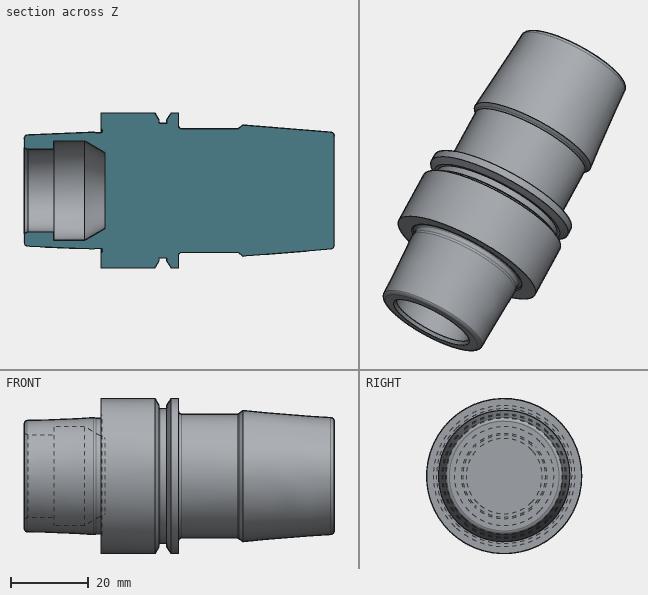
import cadquery as cq

length = 79.9

shank_rounding = 0.95
shank_rounding_length = 0.7
shank_face_radius = 13.4
shank_small_radius = 14.4
shank_large_radius = 15.1
shank_end = 17.9
neck_start = 18.5
neck_radius = 14.95

undercut_outer_radius = 16.05
undercut_depth = 0.3
neck_fillet = 0.3
undercut_bevel = 0.3

flange_radius = 20.015
flange_start = 19.7
front_bevel_start = 33.7
front_bevel_end = 34.75
groove_lip_radius = 18.2
groove_radius = 17.4
groove_fillet = 0.2
groove_end = 36.7
rear_bevel_end = 37.9
flange_end = 39.8

body_radius = 16.0
body_fillet = 0.8
body_end = 55.05
head_step_end = 55.5
head_step_radius = 16.3
head_start = 56.3
head_large_radius = 16.9
head_small_radius = 15.1
head_rounding = 0.95

mouth_radius = 11.0
mouth_chamfer_depth = 0.95
lip_radius = 10.6
lip_end = 7.7
clamp_groove_radius = 12.8
clamp_groove_end = 15.6
seat_end = 20.8
floor_radius = 9.75


def make_body():
    """Revolve the outer half-profile about the X axis."""
    undercut_floor = flange_start + undercut_depth
    profile = (
        cq.Workplane("XY")
        .moveTo(0, 0)
        .lineTo(0, shank_face_radius)
        .radiusArc((shank_rounding_length, shank_small_radius), shank_rounding)
        .lineTo(shank_end, shank_large_radius)
        .lineTo(neck_start, neck_radius)
        .lineTo(undercut_floor - neck_fillet, neck_radius)
        .radiusArc((undercut_floor, neck_radius + neck_fillet), -neck_fillet)
        .lineTo(undercut_floor, undercut_outer_radius - undercut_bevel)
        .lineTo(flange_start, undercut_outer_radius)
        .lineTo(flange_start, flange_radius)
        .lineTo(front_bevel_start, flange_radius)
        .lineTo(front_bevel_end, groove_lip_radius)
        .lineTo(front_bevel_end, groove_radius + groove_fillet)
        .radiusArc((front_bevel_end + groove_fillet, groove_radius), -groove_fillet)
        .lineTo(groove_end, groove_radius)
        .lineTo(groove_end, groove_lip_radius)
        .lineTo(rear_bevel_end, flange_radius)
        .lineTo(flange_end, flange_radius)
        .lineTo(flange_end, body_radius + body_fillet)
        .radiusArc((flange_end + body_fillet, body_radius), -body_fillet)
        .lineTo(body_end, body_radius)
        .lineTo(head_step_end, head_step_radius)
        .lineTo(head_start, head_large_radius)
        .lineTo(length - head_rounding, head_small_radius)
        .radiusArc((length, head_small_radius - head_rounding), head_rounding)
        .lineTo(length, 0)
        .close()
    )
    return profile.revolve(360, (0, 0, 0), (1, 0, 0))


def make_bore():
    """Revolve the bore half-profile: lip, clamping groove and conical seat."""
    profile = (
        cq.Workplane("XY")
        .moveTo(0, 0)
        .lineTo(0, mouth_radius)
        .lineTo(mouth_chamfer_depth, lip_radius)
        .lineTo(lip_end, lip_radius)
        .lineTo(lip_end, clamp_groove_radius)
        .lineTo(clamp_groove_end, clamp_groove_radius)
        .lineTo(seat_end, floor_radius)
        .lineTo(seat_end, 0)
        .close()
    )
    return profile.revolve(360, (0, 0, 0), (1, 0, 0))


result = make_body().cut(make_bore())